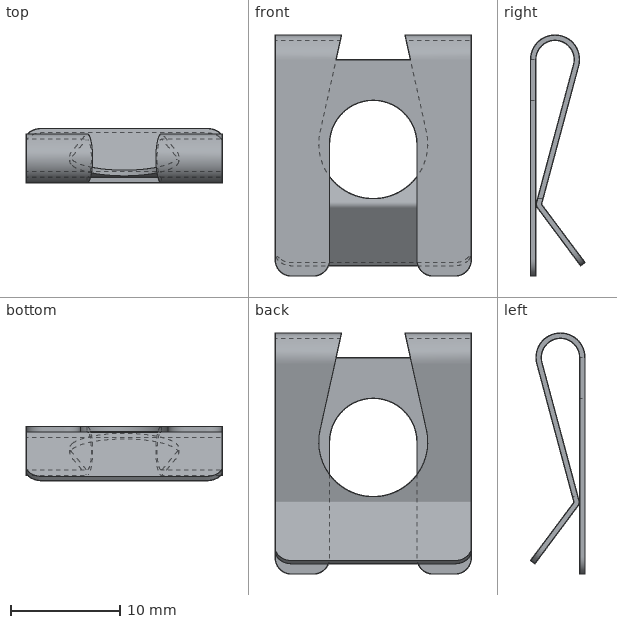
import cadquery as cq
import math


width = 18.0
height = 22.12
depth = 5.0
thickness = 0.5

roll_radius = 2.25
leg_angle = math.radians(15.0)
tail_angle = math.radians(36.7)
knee_inner_radius = 0.1
knee_gap = 0.03

hole_drop = 10.0
plate_slot_width = 8.0
leg_hole_radius = 5.0
notch_top_width = 5.8
corner_radius = 1.5

roll_z = height - roll_radius
hole_z = height - hole_drop
knee_outer_radius = knee_inner_radius + thickness
knee_y = thickness + knee_gap + knee_outer_radius


def leg_normal(distance):
    """Offset at right angles to the leg, toward the back."""
    return distance * math.cos(leg_angle), -distance * math.sin(leg_angle)


def tail_normal(distance):
    """Offset at right angles to the tail, toward the back."""
    return distance * math.cos(tail_angle), distance * math.sin(tail_angle)


def shifted(point, offset):
    """Point moved by an offset; both are (Y, Z) pairs."""
    return point[0] + offset[0], point[1] + offset[1]


roll_center = (roll_radius, roll_z)
roll_inner_radius = roll_radius - thickness

leg_start = shifted(roll_center, leg_normal(roll_radius))
leg_end_y = knee_y + leg_normal(-knee_inner_radius)[0]
leg_end_z = leg_start[1] - (leg_start[0] - leg_end_y) / math.tan(leg_angle)
knee_center = shifted((leg_end_y, leg_end_z), leg_normal(knee_inner_radius))

tail_start = shifted(knee_center, tail_normal(-knee_inner_radius))
tail_length = (depth - tail_start[0]) / math.sin(tail_angle)
tail_run = (tail_length * math.sin(tail_angle), -tail_length * math.cos(tail_angle))


def bent_strip():
    """Full-width strip, extruded along X from its side profile."""
    top_y, top_z = roll_center
    tail_front = shifted(knee_center, tail_normal(-knee_outer_radius))
    profile = (
        cq.Workplane("YZ")
        .moveTo(0, 0)
        .lineTo(0, roll_z)
        .threePointArc((top_y, top_z + roll_radius), leg_start)
        .lineTo(leg_end_y, leg_end_z)
        .threePointArc((knee_center[0] - knee_inner_radius, knee_center[1]), tail_start)
        .lineTo(*shifted(tail_start, tail_run))
        .lineTo(*shifted(tail_front, tail_run))
        .lineTo(*tail_front)
        .threePointArc(
            (knee_center[0] - knee_outer_radius, knee_center[1]),
            shifted(knee_center, leg_normal(-knee_outer_radius)),
        )
        .lineTo(*shifted(roll_center, leg_normal(roll_inner_radius)))
        .threePointArc((top_y, top_z + roll_inner_radius), (thickness, roll_z))
        .lineTo(thickness, 0)
        .close()
    )
    return profile.extrude(width / 2, both=True)


def plate_slot():
    """Round-topped slot, open at the bottom of the front plate."""
    half = plate_slot_width / 2
    outline = (
        cq.Workplane("XZ")
        .moveTo(-half, 0)
        .lineTo(-half, hole_z)
        .threePointArc((0, hole_z + half), (half, hole_z))
        .lineTo(half, 0)
        .close()
    )
    return outline.extrude(-thickness)


def leg_opening():
    """Keyhole through the leg and roll: a round hole with tapered sides tangent to it."""
    half_top = notch_top_width / 2
    touch_angle = math.atan2(hole_drop, half_top) - math.acos(
        leg_hole_radius / math.hypot(half_top, hole_drop)
    )
    touch_x = leg_hole_radius * math.cos(touch_angle)
    touch_z = hole_z + leg_hole_radius * math.sin(touch_angle)
    outline = (
        cq.Workplane("XZ")
        .moveTo(-half_top, height)
        .lineTo(half_top, height)
        .lineTo(touch_x, touch_z)
        .threePointArc((0, hole_z - leg_hole_radius), (-touch_x, touch_z))
        .close()
    )
    front_plate = cq.Workplane("XY").box(width, thickness, roll_z, centered=(True, False, False))
    return outline.extrude(-depth).cut(front_plate)


def round_plate_corners(body):
    """Round the four bottom corners of the two plate prongs."""
    return body.faces("<Z").edges("|Y").fillet(corner_radius)


def round_tail_corners(body):
    """Round the two free corners of the tail."""
    across_tail = cq.Vector(0, *tail_normal(1))
    tail_edges = body.edges(cq.selectors.ParallelDirSelector(across_tail))
    return tail_edges.fillet(corner_radius)


result = bent_strip()
result = round_tail_corners(result)
result = result.cut(plate_slot())
result = round_plate_corners(result)
result = result.cut(leg_opening())